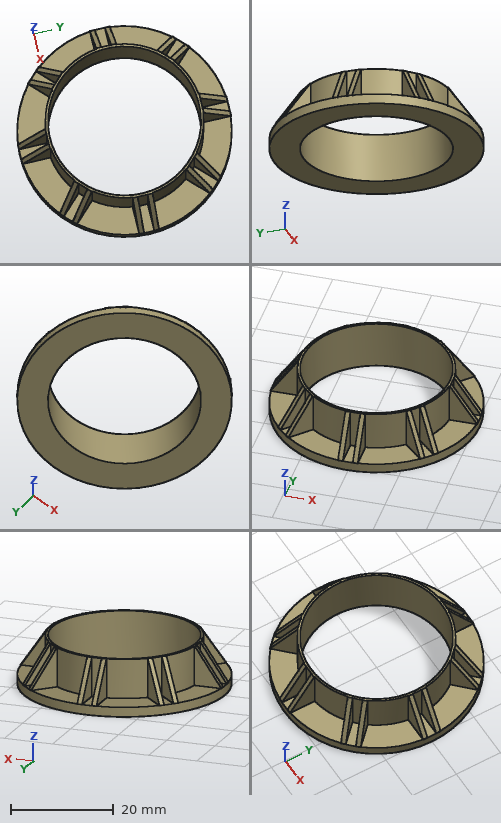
import cadquery as cq

flange_diameter = 41.8
bore_diameter = 29.8
wall_thickness = 0.5
total_height = 10.0
flange_thickness = 2.0

pair_count = 8
gusset_thickness = 1.0
gusset_gap = 2.0

flange_radius = flange_diameter / 2
bore_radius = bore_diameter / 2
collar_radius = bore_radius + wall_thickness
gusset_offset = (gusset_gap + gusset_thickness) / 2


def make_ring(outer_radius, height):
    """Ring standing on the base plane, with the common bore."""
    return cq.Workplane("XY").circle(outer_radius).circle(bore_radius).extrude(height)


def make_gusset(side_offset):
    """Triangular gusset along +X, centred on y = side_offset.

    Its inner edge is buried in the collar wall, and its slope runs from the
    collar's top rim to the flange's outer edge.
    """
    return (
        cq.Workplane("XZ", origin=(0, side_offset, 0))
        .moveTo(bore_radius, flange_thickness)
        .lineTo(flange_radius, flange_thickness)
        .lineTo(collar_radius, total_height)
        .lineTo(bore_radius, total_height)
        .close()
        .extrude(gusset_thickness / 2, both=True)
    )


def make_gusset_pair(angle):
    """Two parallel gussets straddling the radial line at the given angle."""
    pair = make_gusset(-gusset_offset).union(make_gusset(gusset_offset))
    return pair.rotate((0, 0, 0), (0, 0, 1), angle)


flange = make_ring(flange_radius, flange_thickness)
collar = make_ring(collar_radius, total_height)
body = flange.union(collar)

for index in range(pair_count):
    body = body.union(make_gusset_pair(index * 360 / pair_count))

result = body